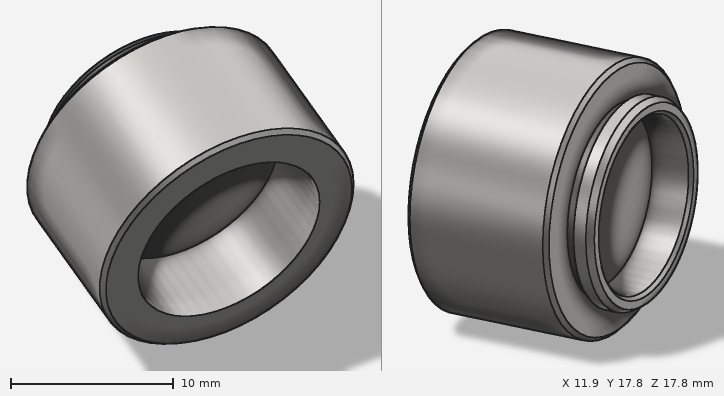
import cadquery as cq
import math


barrel_radius = 8.89
barrel_start = 2.01
overall_length = 11.95
barrel_chamfer = 0.28

collar_radius = 6.77
collar_end = 1.3
collar_chamfer_length = 0.45
collar_chamfer_depth = 0.28
groove_radius = 6.31

bore_radius = 5.73
bore_chamfer = 0.23
lens_seat_x = 2.81

lens_radius = 6.35
lens_edge_thickness = 3.8
lens_curve_radius = 25.78
lens_sag = lens_curve_radius - math.sqrt(lens_curve_radius**2 - lens_radius**2)


def revolve_about_x(profile):
    """Turn a closed (x, radius) profile a full circle about the X axis."""
    return profile.close().revolve(360, (0, 0, 0), (1, 0, 0))


def make_housing():
    """Barrel and spigot in one piece, with the front bore and the rear lens pocket."""
    profile = (
        cq.Workplane("XY")
        .moveTo(0, bore_radius + bore_chamfer)
        .lineTo(0, collar_radius - collar_chamfer_depth)
        .lineTo(collar_chamfer_length, collar_radius)
        .lineTo(collar_end, collar_radius)
        .lineTo(collar_end, groove_radius)
        .lineTo(barrel_start, groove_radius)
        .lineTo(barrel_start, barrel_radius - barrel_chamfer)
        .lineTo(barrel_start + barrel_chamfer, barrel_radius)
        .lineTo(overall_length - barrel_chamfer, barrel_radius)
        .lineTo(overall_length, barrel_radius - barrel_chamfer)
        .lineTo(overall_length, lens_radius)
        .lineTo(lens_seat_x, lens_radius)
        .lineTo(lens_seat_x, bore_radius)
        .lineTo(bore_chamfer, bore_radius)
    )
    return revolve_about_x(profile)


def make_lens():
    """Plano-concave disc that fills the pocket diameter and rests on the shoulder."""
    rear_edge_x = lens_seat_x + lens_edge_thickness
    rear_center_x = rear_edge_x - lens_sag
    profile = (
        cq.Workplane("XY")
        .moveTo(lens_seat_x, 0)
        .lineTo(lens_seat_x, lens_radius)
        .lineTo(rear_edge_x, lens_radius)
        .radiusArc((rear_center_x, 0), -lens_curve_radius)
    )
    return revolve_about_x(profile)


housing = make_housing()
lens = make_lens()

result = cq.Compound.makeCompound([housing.val(), lens.val()])